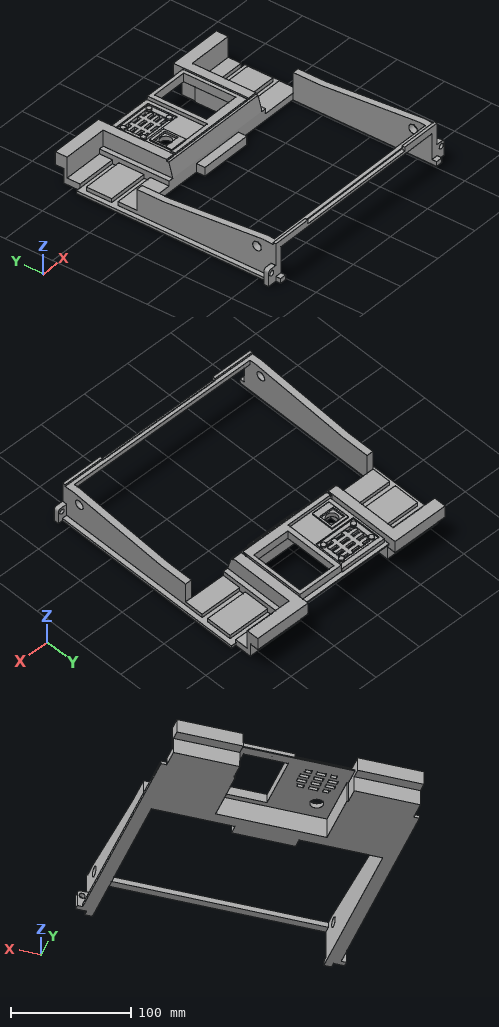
import cadquery as cq


TOTAL_DEPTH = 238.33
FOOT_DEPTH = 5.0
FRONT_Y = FOOT_DEPTH
CONSOLE_FRONT = 152.0
FLANGE_DEPTH = 9.0
BASE_REAR = TOTAL_DEPTH - FLANGE_DEPTH

WALL_OUTER = 108.5
WALL_THICK = 7.0
WALL_INNER = WALL_OUTER - WALL_THICK
WALL_LOW_Z = 28.5
WALL_PEAK_Z = 37.3
WALL_FRONT_Z = 36.4
RAMP_START_Y = 123.0
RAMP_PEAK_Y = 18.7
PIVOT_Y = 25.0
PIVOT_Z = 27.3
PIVOT_DIAMETER = 9.0

BAR_BOTTOM_Z = 31.5
BAR_DEPTH = 7.0
LIP_DEPTH = 3.0
LIP_TOP_Z = 38.58
LIP_GAP_HALF = 65.0
LIP_GAP_REAR_Z = 35.6
LIP_GAP_FRONT_Z = 34.6

RAIL_OUTER = 113.5
RAIL_HEIGHT = 3.0
RAIL_REAR = 212.0
EAR_OUTER = 118.25
EAR_DEPTH = 5.0
EAR_HEIGHT = 16.5
EAR_RADIUS = 3.0
EAR_HOLE_X = 114.0
EAR_HOLE_Z = 11.5
EAR_HOLE_DIAMETER = 5.0
FOOT_HEIGHT = 5.0

TILE_HEIGHT = 7.0
GROOVE_WIDTH = 6.67
GROOVE_FRONTS = (171.8, 205.2)
SHOULDER_HALF = 65.0
SHOULDER_HEIGHT = 12.0
PANEL_OUTER = 60.0
PANEL_INNER = 50.2
LINER_INNER = 48.9
LINER_REAR = 214.3
CONSOLE_TOP = 28.5
FLANGE_BOTTOM = 15.0
REAR_WALL_FRONT = 225.6
PANEL_FRONT = 158.5
LEDGE_FRONT = 156.2
LEDGE_Z = 26.8
FRONT_WALL_REAR = 163.0
TONGUE_HALF = 28.2
TONGUE_DEPTH = 9.0
TONGUE_HEIGHT = 9.0

DECK_BOTTOM = 19.5
DECK_TOP = 20.5
DECK_REAR = 231.4
INSERT_HALF = 48.5
INSERT_SPLIT_X = 0.5

BEZEL_REAR = 226.6
WINDOW_X = (5.4, 44.7)
WINDOW_Y = (167.7, 222.7)

CONTROL_TOP = 24.8
CONTROL_Y = (162.8, 227.4)
VENT_POCKET_X = (-46.7, -3.2)
VENT_POCKET_Y = (192.2, 222.8)
VENT_POCKET_DEPTH = 1.5
VENT_CENTER = (-25.2, 207.9)
VENT_OPENING = (33.2, 23.5)
VENT_OPENING_DEPTH = 1.0
VENT_COLUMNS = 3
VENT_ROWS = 4
VENT_COLUMN_GAP = 4.4
VENT_ROW_GAP = 3.4
POST_CENTER = (-25.0, 207.6)
POST_SPACING = (34.8, 21.4)
POST_DIAMETER = 5.2
POST_BASE_DIAMETER = 7.4
KNOB_BOX_X = (-43.8, -24.7)
KNOB_BOX_Y = (165.8, 189.4)
KNOB_BOX_TOP = 26.0
KNOB_SEAT_X = (-41.9, -26.7)
KNOB_SEAT_Y = (172.8, 186.5)
KNOB_SEAT_Z = 24.0
KNOB_HOLE_CENTER = (-34.2, 179.6)
KNOB_HOLE_DIAMETER = 11.4


def block(x_range, y_range, z_range):
    """Box given by its limits along each axis."""
    limits = (x_range, y_range, z_range)
    sizes = [high - low for low, high in limits]
    corner = tuple(low for low, high in limits)
    return cq.Workplane("XY").box(*sizes, centered=False).translate(corner)


def centered_block(half_width, y_range, z_range):
    """Box that is symmetric about the YZ plane."""
    return block((-half_width, half_width), y_range, z_range)


def side_profile(points, x_range):
    """Prism of a (Y, Z) outline that fills the given X range."""
    x_start, x_end = x_range
    return cq.Workplane("YZ", origin=(x_start, 0, 0)).polyline(points).close().extrude(x_end - x_start)


def make_wall():
    """Side wall with a ramped top edge and a pivot hole near the front."""
    outline = [
        (FRONT_Y, 0),
        (CONSOLE_FRONT, 0),
        (CONSOLE_FRONT, WALL_LOW_Z),
        (RAMP_START_Y, WALL_LOW_Z),
        (RAMP_PEAK_Y, WALL_PEAK_Z),
        (FRONT_Y, WALL_FRONT_Z),
    ]
    wall = side_profile(outline, (WALL_INNER, WALL_OUTER))
    pivot = cq.Workplane("YZ", origin=(WALL_INNER, 0, 0)).center(PIVOT_Y, PIVOT_Z)
    return wall.cut(pivot.circle(PIVOT_DIAMETER / 2).extrude(WALL_THICK))


def make_ear():
    """Screw ear beside the foot, rounded at its outer top corner."""
    ear = block((WALL_INNER, EAR_OUTER), (FRONT_Y, FRONT_Y + EAR_DEPTH), (0, EAR_HEIGHT))
    ear = ear.edges("|Y and >X and >Z").fillet(EAR_RADIUS)
    hole = cq.Workplane("XZ", origin=(EAR_HOLE_X, FRONT_Y, EAR_HOLE_Z))
    return ear.cut(hole.circle(EAR_HOLE_DIAMETER / 2).extrude(-EAR_DEPTH))


def make_tiles():
    """Low side deck of the console, split into tiles by cross grooves."""
    tiles = block((0, WALL_OUTER), (CONSOLE_FRONT, BASE_REAR), (0, TILE_HEIGHT))
    for front in GROOVE_FRONTS:
        groove_y = (front, front + GROOVE_WIDTH)
        groove = block((SHOULDER_HALF, WALL_OUTER), groove_y, (RAIL_HEIGHT, TILE_HEIGHT))
        tiles = tiles.cut(groove)
    hollow = block((0, PANEL_INNER), (FRONT_WALL_REAR, BASE_REAR), (0, TILE_HEIGHT))
    return tiles.cut(hollow)


def make_side():
    """Everything on the +X side apart from the centre deck."""
    foot = block((WALL_INNER, WALL_OUTER), (0, FRONT_Y), (0, FOOT_HEIGHT))
    rail = block((WALL_INNER, RAIL_OUTER), (FRONT_Y, RAIL_REAR), (0, RAIL_HEIGHT))
    shoulder = block((PANEL_INNER, SHOULDER_HALF), (CONSOLE_FRONT, BASE_REAR), (0, SHOULDER_HEIGHT))
    panel = block((PANEL_INNER, PANEL_OUTER), (PANEL_FRONT, BASE_REAR), (0, CONSOLE_TOP))
    liner = block((LINER_INNER, PANEL_INNER), (FRONT_WALL_REAR, LINER_REAR), (0, DECK_BOTTOM))
    rear_wall = block((PANEL_INNER, WALL_OUTER), (REAR_WALL_FRONT, BASE_REAR), (0, CONSOLE_TOP))
    flange = block((PANEL_INNER, WALL_OUTER), (BASE_REAR, TOTAL_DEPTH), (FLANGE_BOTTOM, CONSOLE_TOP))
    side = make_wall()
    for piece in (make_ear(), foot, rail, make_tiles(), shoulder, panel, liner, rear_wall, flange):
        side = side.union(piece)
    return side


def make_cross_bar():
    """Bar joining the wall tops, with a front lip lowered to a bevel along its middle."""
    rear = FRONT_Y + BAR_DEPTH
    slope = (WALL_PEAK_Z - WALL_FRONT_Z) / (RAMP_PEAK_Y - FRONT_Y)
    outline = [
        (FRONT_Y, BAR_BOTTOM_Z),
        (rear, BAR_BOTTOM_Z),
        (rear, WALL_FRONT_Z + slope * BAR_DEPTH),
        (FRONT_Y, WALL_FRONT_Z),
    ]
    lip_rear = FRONT_Y + LIP_DEPTH
    bar = side_profile(outline, (-WALL_OUTER, WALL_OUTER))
    bar = bar.union(centered_block(WALL_OUTER, (FRONT_Y, lip_rear), (BAR_BOTTOM_Z, LIP_TOP_Z)))
    gap = [
        (FRONT_Y, LIP_GAP_FRONT_Z),
        (lip_rear, LIP_GAP_REAR_Z),
        (lip_rear, LIP_TOP_Z),
        (FRONT_Y, LIP_TOP_Z),
    ]
    return bar.cut(side_profile(gap, (-LIP_GAP_HALF, LIP_GAP_HALF)))


def make_console_front():
    """Sloped front wall of the console with its ledge, base step and tongue."""
    slope = [
        (CONSOLE_FRONT, 0),
        (CONSOLE_FRONT, SHOULDER_HEIGHT),
        (LEDGE_FRONT, LEDGE_Z),
        (FRONT_WALL_REAR, LEDGE_Z),
        (FRONT_WALL_REAR, 0),
    ]
    front = side_profile(slope, (-PANEL_OUTER, PANEL_OUTER))
    tongue = centered_block(TONGUE_HALF, (CONSOLE_FRONT - TONGUE_DEPTH, CONSOLE_FRONT), (0, TONGUE_HEIGHT))
    strip = centered_block(INSERT_HALF, (PANEL_FRONT, FRONT_WALL_REAR), (DECK_BOTTOM, CONSOLE_TOP))
    return front.union(tongue).union(strip)


def make_deck():
    """Thin centre deck carrying the window bezel and the control panel."""
    deck = centered_block(PANEL_INNER, (PANEL_FRONT, DECK_REAR), (DECK_BOTTOM, DECK_TOP))
    bezel = block((INSERT_SPLIT_X, INSERT_HALF), (PANEL_FRONT, BEZEL_REAR), (DECK_BOTTOM, CONSOLE_TOP))
    control = block((-INSERT_HALF, INSERT_SPLIT_X), CONTROL_Y, (DECK_BOTTOM, CONTROL_TOP))
    window = block(WINDOW_X, WINDOW_Y, (DECK_BOTTOM, CONSOLE_TOP))
    return deck.union(bezel).union(control).cut(window)


def add_vent(body):
    """Recessed pocket with a sunken grille and a post standing at each grille corner."""
    pocket_floor = CONTROL_TOP - VENT_POCKET_DEPTH
    grille_top = pocket_floor - VENT_OPENING_DEPTH
    full_height = CONTROL_TOP - DECK_BOTTOM
    plane = cq.Workplane("XY", origin=(*VENT_CENTER, DECK_BOTTOM))
    corners = cq.Workplane("XY", origin=(*POST_CENTER, DECK_BOTTOM)).rarray(*POST_SPACING, 2, 2)
    post_bases = corners.circle(POST_BASE_DIAMETER / 2).extrude(full_height)
    posts = corners.circle(POST_DIAMETER / 2).extrude(full_height)

    opening = plane.rect(*VENT_OPENING).extrude(VENT_OPENING_DEPTH)
    opening = opening.translate((0, 0, grille_top - DECK_BOTTOM))

    opening_width, opening_height = VENT_OPENING
    slot_width = (opening_width - (VENT_COLUMNS - 1) * VENT_COLUMN_GAP) / VENT_COLUMNS
    slot_height = (opening_height - (VENT_ROWS - 1) * VENT_ROW_GAP) / VENT_ROWS
    column_pitch = slot_width + VENT_COLUMN_GAP
    row_pitch = slot_height + VENT_ROW_GAP
    slot_grid = plane.rarray(column_pitch, row_pitch, VENT_COLUMNS, VENT_ROWS)
    slots = slot_grid.rect(slot_width, slot_height).extrude(full_height)

    body = body.cut(block(VENT_POCKET_X, VENT_POCKET_Y, (pocket_floor, CONTROL_TOP)))
    body = body.cut(opening.cut(post_bases)).cut(slots.cut(post_bases))
    return body.union(posts)


def add_knob_box(body):
    """Raised box with a sunken rectangular seat and a round hole through it."""
    body = body.union(block(KNOB_BOX_X, KNOB_BOX_Y, (DECK_BOTTOM, KNOB_BOX_TOP)))
    body = body.cut(block(KNOB_SEAT_X, KNOB_SEAT_Y, (KNOB_SEAT_Z, KNOB_BOX_TOP)))
    hole = cq.Workplane("XY", origin=(*KNOB_HOLE_CENTER, DECK_BOTTOM)).circle(KNOB_HOLE_DIAMETER / 2)
    return body.cut(hole.extrude(KNOB_BOX_TOP - DECK_BOTTOM))


deck = add_knob_box(add_vent(make_deck()))
right_side = make_side()
left_side = right_side.mirror("YZ")
result = right_side.union(left_side).union(make_cross_bar()).union(make_console_front()).union(deck)